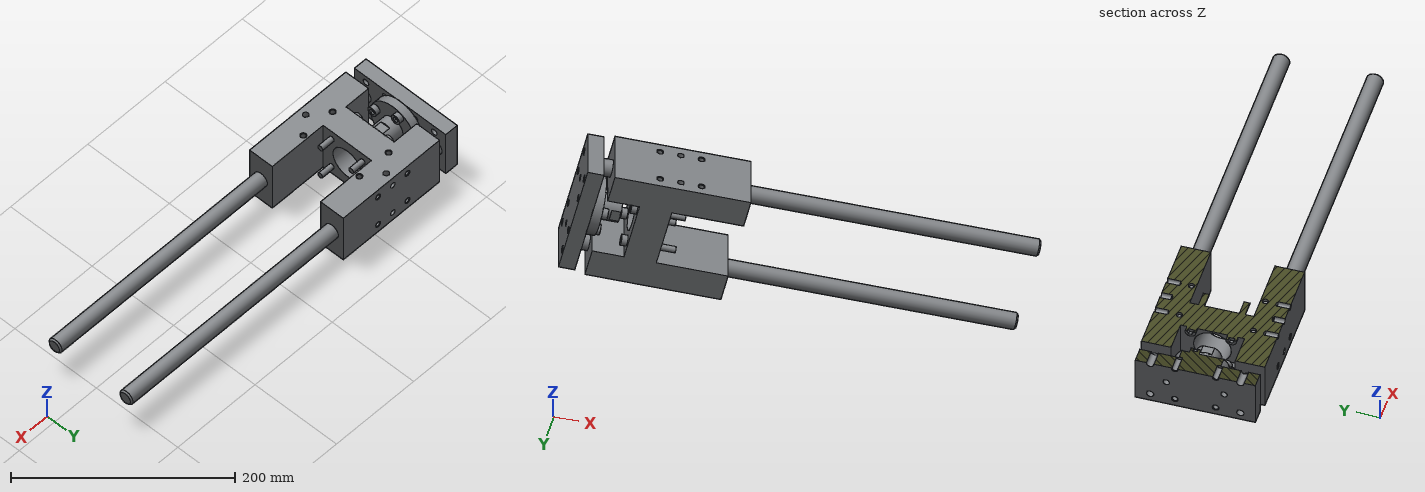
import cadquery as cq
import math

total_length = 417.0

plate_thickness = 15.0
plate_width = 112.0
plate_height = 54.2

rod_diameter = 16.0
rod_pitch = 87.0
rod_chamfer = 1.5

housing_start = 24.5
housing_length = 124.5
housing_width = 115.0
housing_height = 58.0
arm_gap = 59.2
web_start = 54.0
web_thickness = 29.5
web_bore_diameter = 35.0

thread_mouth_diameter = 6.3
thread_core_diameter = 5.0
thread_depth = 12.0
pin_hole_diameter = 6.0
pin_hole_depth = 10.0
drill_tip_angle = 120.0
hole_square = 38.0
arm_hole_pitch = 69.0
top_pin_pitch = 99.0
hole_centre_x = 85.0

plate_corner_pitch = 84.0
plate_corner_diameter = 6.5
plate_middle_pitch = 54.0
plate_middle_diameter = 6.0

screw_diameter = 6.0
screw_head_diameter = 10.0
screw_head_height = 5.5
screw_socket_width = 5.0
screw_socket_depth = 3.0
web_screw_end = 98.5

flange_diameter = 55.0
flange_thickness = 9.0
flange_end = plate_thickness + flange_thickness
hub_diameter = 24.0
hub_end = 43.0
hub_flat_width = 21.5
hub_flat_length = 8.8
bolt_circle_diameter = 44.5
bolt_count = 4
bolt_start_angle = 69.0

half_square = hole_square / 2
rod_places = [(-rod_pitch / 2, 0), (rod_pitch / 2, 0)]
square_places = [(y, z) for y in (-half_square, half_square) for z in (-half_square, half_square)]


def cylinder(start, direction, diameter, length):
    """Solid cylinder from a start point along a direction."""
    return cq.Workplane(cq.Solid.makeCylinder(diameter / 2, length, cq.Vector(*start), cq.Vector(*direction)))


def x_cylinder(start_x, place, diameter, length):
    """Cylinder along +X at a (y, z) place."""
    return cylinder((start_x, *place), (1, 0, 0), diameter, length)


def x_box(start_x, length, width, height):
    """Box along +X, centred on the X axis."""
    return cq.Workplane("XY").box(length, width, height, centered=(False, True, True)).translate((start_x, 0, 0))


def thread_mouth(start, direction):
    """45 degree countersink that leads into a threaded hole."""
    mouth_radius = thread_mouth_diameter / 2
    core_radius = thread_core_diameter / 2
    mouth_depth = mouth_radius - core_radius
    return cq.Workplane(
        cq.Solid.makeCone(mouth_radius, core_radius, mouth_depth, cq.Vector(*start), cq.Vector(*direction)))


def threaded_hole(start, direction):
    """Blind hole with a countersunk mouth and a conical drill tip."""
    core_radius = thread_core_diameter / 2
    tip_length = core_radius / math.tan(math.radians(drill_tip_angle / 2))
    axis = cq.Vector(*direction)
    tip_start = cq.Vector(*start) + axis * thread_depth
    tip = cq.Workplane(cq.Solid.makeCone(core_radius, 0, tip_length, tip_start, axis))
    core = cylinder(start, direction, thread_core_diameter, thread_depth)
    return core.union(tip).union(thread_mouth(start, direction))


def screw_head(seat_x, place, direction):
    """Round head with a hexagon socket, standing on a seat and pointing along +X or -X."""
    socket_corner_diameter = screw_socket_width / math.cos(math.pi / 6)
    seat = cq.Plane(origin=(seat_x, *place), xDir=(0, 1, 0), normal=(direction, 0, 0))
    head = cq.Workplane(seat).circle(screw_head_diameter / 2).extrude(screw_head_height)
    socket_floor = cq.Workplane(seat).workplane(offset=screw_head_height - screw_socket_depth)
    return head.cut(socket_floor.polygon(6, socket_corner_diameter).extrude(screw_socket_depth))


def housing_block():
    """H-shaped block with the large bore through its web and a passage for each rod."""
    block = x_box(housing_start, housing_length, housing_width, housing_height)
    housing_end = housing_start + housing_length
    web_end = web_start + web_thickness
    block = block.cut(x_box(housing_start, web_start - housing_start, arm_gap, housing_height))
    block = block.cut(x_box(web_end, housing_end - web_end, arm_gap, housing_height))
    block = block.cut(x_cylinder(web_start, (0, 0), web_bore_diameter, web_thickness))
    for place in rod_places:
        block = block.cut(x_cylinder(housing_start, place, rod_diameter, housing_length))
    return block


def drill_housing(block):
    """Threaded and pin holes in both outer sides and in the top."""
    top = housing_height / 2
    thread_columns = (hole_centre_x - half_square, hole_centre_x + half_square)
    for side in (-1, 1):
        outer_y = side * housing_width / 2
        inward = (0, -side, 0)
        for z in (-half_square, half_square):
            for x in thread_columns:
                block = block.cut(threaded_hole((x, outer_y, z), inward))
            block = block.cut(cylinder((hole_centre_x, outer_y, z), inward, pin_hole_diameter, pin_hole_depth))
        for x in thread_columns:
            block = block.cut(threaded_hole((x, side * arm_hole_pitch / 2, top), (0, 0, -1)))
        top_pin = (hole_centre_x, side * top_pin_pitch / 2, top)
        block = block.cut(cylinder(top_pin, (0, 0, -1), pin_hole_diameter, pin_hole_depth))
    return block


def add_web_screws(block):
    """Cap screws through the web: heads in front of it, threads sticking out behind."""
    for place in square_places:
        block = block.union(x_cylinder(web_start, place, screw_diameter, web_screw_end - web_start))
        block = block.union(screw_head(web_start, place, -1))
    return block


def slide_plate():
    """Plain front plate, with its outer face at X = 0."""
    return x_box(0, plate_thickness, plate_width, plate_height)


def add_rods(slide):
    """Two guide rods from the plate to the far end, chamfered at the tip."""
    for place in rod_places:
        rod = x_cylinder(plate_thickness, place, rod_diameter, total_length - plate_thickness)
        slide = slide.union(rod.faces(">X").chamfer(rod_chamfer))
    return slide


def add_coupling(slide):
    """Flange and hub with two spanner flats, held by a ring of cap screws."""
    slide = slide.union(x_cylinder(plate_thickness, (0, 0), flange_diameter, flange_thickness))
    hub = x_cylinder(flange_end, (0, 0), hub_diameter, hub_end - flange_end)
    flat_start = hub_end - hub_flat_length
    flats = x_box(flat_start, hub_flat_length, hub_diameter, hub_diameter)
    flats = flats.cut(x_box(flat_start, hub_flat_length, hub_diameter, hub_flat_width))
    slide = slide.union(hub.cut(flats))
    bolt_circle_radius = bolt_circle_diameter / 2
    for index in range(bolt_count):
        angle = math.radians(bolt_start_angle + index * 360 / bolt_count)
        place = (bolt_circle_radius * math.cos(angle), bolt_circle_radius * math.sin(angle))
        slide = slide.union(screw_head(flange_end, place, 1))
    return slide


def drill_plate(slide):
    """Corner, middle and countersunk threaded holes, all through the plate only."""
    for y in (-plate_corner_pitch / 2, plate_corner_pitch / 2):
        for z in (-half_square, half_square):
            slide = slide.cut(x_cylinder(0, (y, z), plate_corner_diameter, plate_thickness))
    for y in (-plate_middle_pitch / 2, plate_middle_pitch / 2):
        slide = slide.cut(x_cylinder(0, (y, 0), plate_middle_diameter, plate_thickness))
    for place in square_places:
        slide = slide.cut(x_cylinder(0, place, thread_core_diameter, plate_thickness))
        slide = slide.cut(thread_mouth((0, *place), (1, 0, 0)))
    return slide


housing = add_web_screws(drill_housing(housing_block()))
slide = drill_plate(add_coupling(add_rods(slide_plate())))

result = cq.Compound.makeCompound([housing.val(), slide.val()])